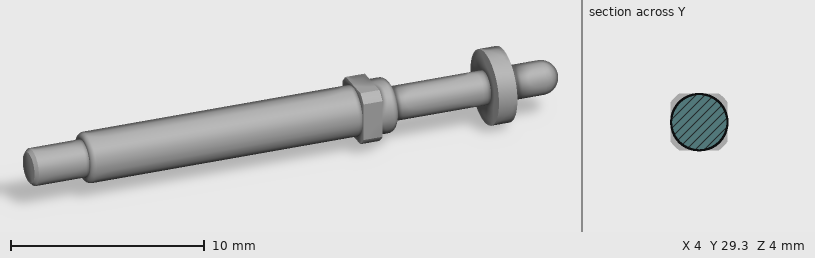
import cadquery as cq

total_length = 29.3

tail_diameter = 2.0
tail_length = 3.0
tail_chamfer = 0.18

barrel_diameter = 2.7
barrel_end = 18.0
barrel_fillet = 0.25

square_width = 2.93
square_length = 1.05
square_corner_diameter = 3.57

collar_diameter = square_width
collar_end = 20.0
collar_fillet = 0.35

plunger_diameter = 1.82
disc_diameter = 4.0
disc_start = 25.3
disc_thickness = 1.03


def cylinder(diameter, start, end):
    """Cylinder on the pin axis between two positions from the tail end."""
    profile = cq.Workplane("XZ", origin=(0, start, 0)).circle(diameter / 2)
    return profile.extrude(start - end)


def make_tail():
    """Solder tail with a chamfered end."""
    tail = cylinder(tail_diameter, 0, tail_length)
    return tail.faces("<Y").chamfer(tail_chamfer)


def make_barrel():
    """Main barrel, rounded where it steps down to the tail."""
    barrel = cylinder(barrel_diameter, tail_length, barrel_end)
    return barrel.faces("<Y").fillet(barrel_fillet)


def make_square():
    """Square wrench section whose corners are rounded off about the pin axis."""
    square_end = barrel_end + square_length
    profile = cq.Workplane("XZ", origin=(0, barrel_end, 0)).rect(square_width, square_width)
    square = profile.extrude(-square_length)
    return square.intersect(cylinder(square_corner_diameter, barrel_end, square_end))


def make_collar():
    """Round collar with a rounded plunger-side rim."""
    collar = cylinder(collar_diameter, barrel_end + square_length, collar_end)
    return collar.faces(">Y").fillet(collar_fillet)


def make_plunger():
    """Rod with a hemispherical tip."""
    tip_radius = plunger_diameter / 2
    dome_start = total_length - tip_radius
    rod = cylinder(plunger_diameter, collar_end, dome_start)
    dome = cq.Workplane("XY", origin=(0, dome_start, 0)).sphere(tip_radius)
    return rod.union(dome)


def make_disc():
    """Flat disc around the plunger."""
    return cylinder(disc_diameter, disc_start, disc_start + disc_thickness)


pin = make_tail()
for section in (make_barrel(), make_square(), make_collar(), make_plunger(), make_disc()):
    pin = pin.union(section)

result = pin.translate((0, -total_length / 2, 0))